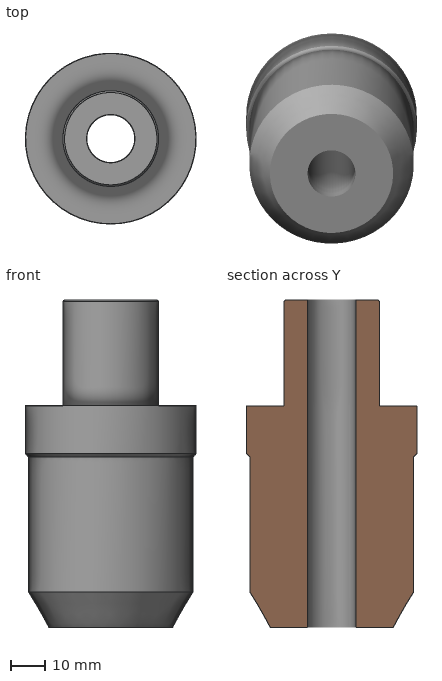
import cadquery as cq

total_height = 96.0
collar_radius = 25.01
body_radius = 24.1
nose_radius = 18.0
spigot_radius = 14.0
bore_radius = 7.0

nose_height = 10.5
body_top = 50.0
collar_bottom = 51.0
collar_top = 65.0

spigot_chamfer = 0.5

section = (
    cq.Workplane("XZ")
    .moveTo(bore_radius, 0)
    .lineTo(nose_radius, 0)
    .lineTo(body_radius, nose_height)
    .lineTo(body_radius, body_top)
    .lineTo(collar_radius, collar_bottom)
    .lineTo(collar_radius, collar_top)
    .lineTo(spigot_radius, collar_top)
    .lineTo(spigot_radius, total_height - spigot_chamfer)
    .lineTo(spigot_radius - spigot_chamfer, total_height)
    .lineTo(bore_radius, total_height)
    .close()
)

result = section.revolve(360, (0, 0, 0), (0, 1, 0)).rotate((0, 0, 0), (0, 0, 1), -90)